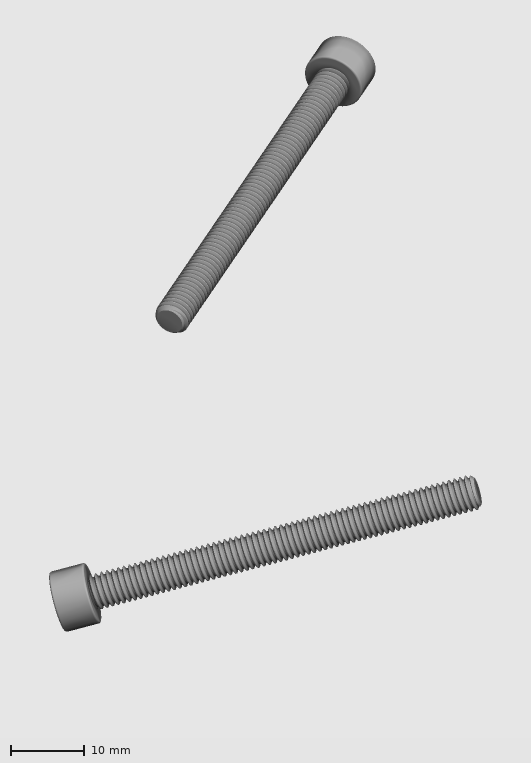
import cadquery as cq
import math


total_length = 60.0
head_diameter = 8.5
head_height = 5.0
head_edge_radius = 0.27
thread_diameter = 5.0
tip_chamfer = 0.6

turns_along_shank = 68.75
flank_half_angle = math.radians(30)
tip_to_crest = 0.65

shank_length = total_length - head_height
thread_radius = thread_diameter / 2
pitch = shank_length / turns_along_shank
crest_width = pitch / 8
root_width = pitch / 4
flank_width = (pitch - crest_width - root_width) / 2
thread_depth = flank_width / math.tan(flank_half_angle)
root_radius = thread_radius - thread_depth

rod_bottom = tip_to_crest - shank_length - crest_width / 2 - flank_width - root_width - 2 * pitch
rod_turns = math.ceil(turns_along_shank) + 3

thread_corners = [
    (root_radius, 0),
    (root_radius, root_width),
    (thread_radius, root_width + flank_width),
    (thread_radius, root_width + flank_width + crest_width),
    (root_radius, pitch),
]


def make_helix_turn(radius, height):
    """One turn of a helix that starts on the +X side at the given height."""
    return cq.Wire.makeHelix(pitch, pitch, radius, center=cq.Vector(0, 0, height))


def make_thread_turn(height):
    """Root, flank, crest and flank faces of a single turn."""
    helices = [make_helix_turn(radius, height + rise) for radius, rise in thread_corners]
    return [cq.Face.makeRuledSurface(lower, upper) for lower, upper in zip(helices, helices[1:])]


def make_end_cap(height):
    """Spiral ramp and radial step that close one end of the threaded rod."""
    axis_bottom = cq.Vector(0, 0, height)
    axis_top = cq.Vector(0, 0, height + pitch)
    rim = make_helix_turn(root_radius, height).Edges()[0]
    ramp = cq.Face.makeRuledSurface(rim, cq.Edge.makeLine(axis_bottom, axis_top))

    profile = [cq.Vector(radius, 0, height + rise) for radius, rise in thread_corners]
    step_outline = cq.Wire.makePolygon([axis_bottom, *profile, axis_top], close=True)
    return [ramp, cq.Face.makeFromWires(step_outline)]


def make_threaded_rod():
    """Solid rod with a full thread, longer than the shank at both ends."""
    faces = make_end_cap(rod_bottom) + make_end_cap(rod_bottom + rod_turns * pitch)
    for turn in range(rod_turns):
        faces += make_thread_turn(rod_bottom + turn * pitch)
    flat_faces = [face for shell in faces for face in shell.Faces()]
    rod = cq.Solid.makeSolid(cq.Shell.makeShell(flat_faces)).fix()
    return cq.Workplane(rod)


def make_envelope():
    """Chamfered cylinder that trims the rod at the tip and at the bearing face."""
    side_gap = 0.6
    tip_radius = thread_radius - tip_chamfer
    envelope_radius = thread_radius + side_gap
    chamfer_height = envelope_radius - tip_radius
    return (
        cq.Workplane("XZ")
        .moveTo(0, -shank_length)
        .lineTo(tip_radius, -shank_length)
        .lineTo(envelope_radius, chamfer_height - shank_length)
        .lineTo(envelope_radius, 0)
        .lineTo(0, 0)
        .close()
        .revolve(360, (0, 0), (0, 1))
    )


def make_head():
    """Plain round head with both rims rounded."""
    head = cq.Workplane("XY").circle(head_diameter / 2).extrude(head_height)
    return head.edges().fillet(head_edge_radius)


shank = make_threaded_rod().intersect(make_envelope())
upright_screw = make_head().union(shank)

result = upright_screw.rotate((0, 0, 0), (1, 0, 0), -90)